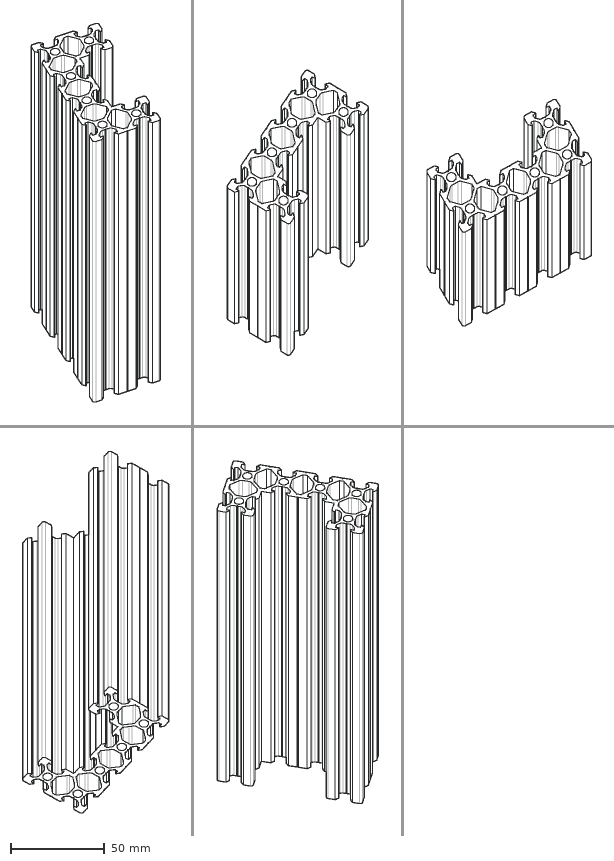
import cadquery as cq

LENGTH = 200.0
CELL = 20.0
HALF_CELL = CELL / 2
WIDTH = 4 * CELL
DEPTH = 2 * CELL
CORNER_RADIUS = 1.5

MOUTH_HALF = 4.8
THROAT_HALF = 3.2
LIP_THICKNESS = 2.0
POCKET_HALF = 5.0

CORE_HALF = 4.0
BORE_DIAMETER = 5.0
WEB_OFFSET = 1.2
WEB_FILLET = 2.2
CHAMBER_WALL = 2.5
CORE_FLAT_HALF = CORE_HALF - WEB_OFFSET
CORE_DEPTH = HALF_CELL - CORE_HALF

GROOVE_HALF = 0.3
GROOVE_DEPTH = 0.3

ROW_X = [(i - 1.5) * CELL for i in range(4)]
INNER_ROW_X = ROW_X[1:-1]
ARM_X = [ROW_X[0], ROW_X[-1]]
JOINT_X = [-CELL, 0, CELL]
BACK_Y = -HALF_CELL
ARM_Y = HALF_CELL

FACE_PLUS_Y = 0
FACE_MINUS_X = 90
FACE_MINUS_Y = 180
FACE_PLUS_X = -90


def prism(side):
    """Mirror the +X half of an outline about the Y axis and extrude it."""
    outline = side + [(-x, y) for x, y in reversed(side)]
    return cq.Workplane("XY").polyline(outline).close().extrude(LENGTH)


def round_edges(solid, corners):
    """Fillet the long edges standing on the given outline corners."""
    for x, y in corners:
        edge = cq.selectors.NearestToPointSelector((x, y, LENGTH / 2))
        solid = solid.edges(edge).fillet(WEB_FILLET)
    return solid


def groove_cutter(depth=0.0):
    """Small V groove sunk into a surface that lies the given depth below Y = 0."""
    return (
        cq.Workplane("XY")
        .polyline([(GROOVE_HALF, -depth), (0, -depth - GROOVE_DEPTH), (-GROOVE_HALF, -depth)])
        .close()
        .extrude(LENGTH)
    )


def slot_cutter():
    """V-slot opening towards +Y, with the outer face at Y = 0."""
    pocket_depth = HALF_CELL - POCKET_HALF - WEB_OFFSET
    slot = prism([
        (MOUTH_HALF, 0),
        (THROAT_HALF, THROAT_HALF - MOUTH_HALF),
        (THROAT_HALF, -LIP_THICKNESS),
        (POCKET_HALF, -LIP_THICKNESS),
        (POCKET_HALF, -pocket_depth),
        (CORE_FLAT_HALF, -CORE_DEPTH),
    ])
    slot = round_edges(slot, [(CORE_FLAT_HALF, -CORE_DEPTH), (-CORE_FLAT_HALF, -CORE_DEPTH)])
    return slot.union(groove_cutter(CORE_DEPTH))


def chamber_cutter():
    """Hollow between two cores that sit side by side along X."""
    reach = HALF_CELL - CHAMBER_WALL
    tip_half = CHAMBER_WALL - WEB_OFFSET
    chamber = prism([
        (tip_half, reach),
        (CORE_DEPTH, CORE_FLAT_HALF),
        (CORE_DEPTH, -CORE_FLAT_HALF),
        (tip_half, -reach),
    ])
    core_corners = [(i * CORE_DEPTH, j * CORE_FLAT_HALF) for i in (1, -1) for j in (1, -1)]
    return round_edges(chamber, core_corners)


def cut_at(body, cutter, places):
    """Cut copies of a cutter, each place being (x, y, turn about Z)."""
    for x, y, turn in places:
        body = body.cut(cutter.rotate((0, 0, 0), (0, 0, 1), turn).translate((x, y, 0)))
    return body


def c_blank():
    """Solid C with the channel open towards +Y and all but its two inner corners rounded."""
    block = cq.Workplane("XY").box(WIDTH, DEPTH, LENGTH, centered=(True, True, False))
    channel = cq.Workplane("XY").box(2 * CELL, CELL, LENGTH, centered=(True, False, False))
    blank = block.cut(channel)
    end_corners = blank.edges("|Z and (<Y or >Y)")
    return end_corners.fillet(CORNER_RADIUS)


slot_places = (
    [(x, -CELL, FACE_MINUS_Y) for x in ROW_X]
    + [(x, CELL, FACE_PLUS_Y) for x in ARM_X]
    + [(x, 0, FACE_PLUS_Y) for x in INNER_ROW_X]
    + [(-WIDTH / 2, y, FACE_MINUS_X) for y in (BACK_Y, ARM_Y)]
    + [(WIDTH / 2, y, FACE_PLUS_X) for y in (BACK_Y, ARM_Y)]
    + [(-CELL, ARM_Y, FACE_PLUS_X), (CELL, ARM_Y, FACE_MINUS_X)]
)
chamber_places = [(x, BACK_Y, 0) for x in JOINT_X] + [(x, 0, 90) for x in ARM_X]
joint_groove_places = (
    [(x, -CELL, FACE_MINUS_Y) for x in JOINT_X]
    + [(0, 0, FACE_PLUS_Y), (-WIDTH / 2, 0, FACE_MINUS_X), (WIDTH / 2, 0, FACE_PLUS_X)]
)
core_centres = [(x, BACK_Y) for x in ROW_X] + [(x, ARM_Y) for x in ARM_X]
bores = cq.Workplane("XY").pushPoints(core_centres).circle(BORE_DIAMETER / 2).extrude(LENGTH)

body = c_blank()
body = cut_at(body, slot_cutter(), slot_places)
body = cut_at(body, chamber_cutter(), chamber_places)
body = cut_at(body, groove_cutter(), joint_groove_places)
result = body.cut(bores)